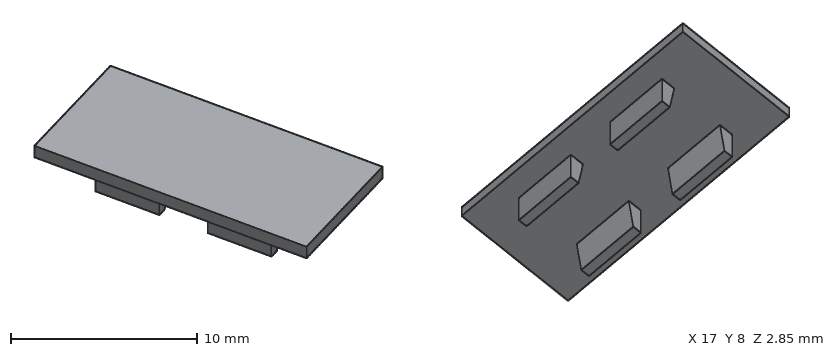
import cadquery as cq

plate_length = 17.0
plate_width = 8.0
plate_thickness = 0.8
total_height = 2.85

leg_height = total_height - plate_thickness
leg_length = 4.0
leg_spacing = 7.0
leg_outer_y = 2.64
leg_root_thickness = 0.92
leg_tip_thickness = 0.58


def make_leg(center_x, side):
    """Leg hanging from the plate underside; side is +1 or -1 along Y."""
    outer_y = side * leg_outer_y
    root_inner_y = side * (leg_outer_y - leg_root_thickness)
    tip_inner_y = side * (leg_outer_y - leg_tip_thickness)
    return (
        cq.Workplane("YZ", origin=(center_x - leg_length / 2, 0, 0))
        .moveTo(outer_y, 0)
        .lineTo(root_inner_y, 0)
        .lineTo(tip_inner_y, -leg_height)
        .lineTo(outer_y, -leg_height)
        .close()
        .extrude(leg_length)
    )


result = cq.Workplane("XY").box(
    plate_length, plate_width, plate_thickness, centered=(True, True, False)
)
for center_x in (-leg_spacing / 2, leg_spacing / 2):
    for side in (-1, 1):
        result = result.union(make_leg(center_x, side))